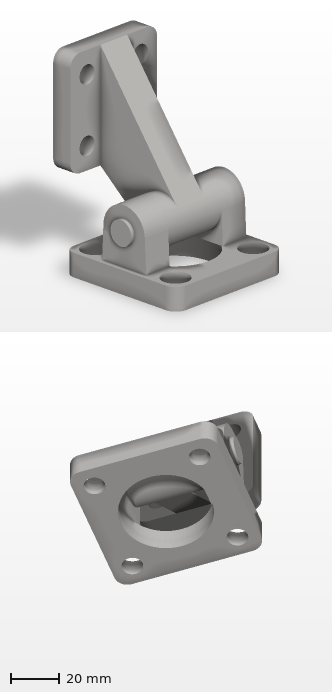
import cadquery as cq
import math

base_side = 65.0
base_thickness = 11.0
corner_radius = 5.7
base_hole_pitch = 46.55
screw_hole_diameter = 9.0
counterbore_diameter = 13.5
counterbore_depth = 4.4
window_diameter = 40.0

axis_height = 27.0
knuckle_diameter = 24.0
knuckle_radius = knuckle_diameter / 2
pin_diameter = 12.0
pin_length = 64.0
lug_foot_width = 25.5
lug_outer_y = 30.0
lug_inner_y = 16.0

overall_height = 95.0
plate_left_x = -45.0
plate_thickness = 10.0
plate_width = 52.0
plate_height = 54.1
plate_hole_pitch = 32.0
arm_width = 16.1
plate_inner_x = plate_left_x + plate_thickness
plate_bottom_z = overall_height - plate_height
plate_center_z = overall_height - plate_height / 2


def y_prism(sketch, y_center, length):
    """Extrude an XZ outline along Y, centred on y_center."""
    return sketch.extrude(length).translate((0, y_center + length / 2, 0))


def axis_cylinder(diameter, length):
    """Cylinder on the hinge axis, centred at Y = 0."""
    circle = cq.Workplane("XZ").center(0, axis_height).circle(diameter / 2)
    return y_prism(circle, 0, length)


def tangent_point(x, z, side):
    """Point where a line from (x, z) touches the knuckle circle; side is +1 or -1."""
    dz = z - axis_height
    distance = math.hypot(x, dz)
    angle = math.atan2(dz, x) + side * math.acos(knuckle_radius / distance)
    return (
        knuckle_radius * math.cos(angle),
        axis_height + knuckle_radius * math.sin(angle),
    )


def make_lug(y_center):
    """Upright ear with a round top and straight flanks tangent to it."""
    foot_x = lug_foot_width / 2
    outline = (
        cq.Workplane("XZ")
        .moveTo(-foot_x, base_thickness)
        .lineTo(foot_x, base_thickness)
        .lineTo(*tangent_point(foot_x, base_thickness, 1))
        .threePointArc(
            (0, axis_height + knuckle_radius),
            tangent_point(-foot_x, base_thickness, -1),
        )
        .close()
    )
    return y_prism(outline, y_center, lug_outer_y - lug_inner_y)


def make_base():
    """Base plate with counterbored screw holes, a round window and two bored lugs."""
    base = (
        cq.Workplane("XY")
        .rect(base_side, base_side)
        .extrude(base_thickness)
        .edges("|Z")
        .fillet(corner_radius)
    )
    base = (
        base.faces(">Z")
        .workplane()
        .rect(base_hole_pitch, base_hole_pitch, forConstruction=True)
        .vertices()
        .cboreHole(screw_hole_diameter, counterbore_diameter, counterbore_depth)
    )
    base = base.faces(">Z").workplane(origin=(0, 0, 0)).hole(window_diameter)
    lug_center_y = (lug_outer_y + lug_inner_y) / 2
    for side in (-1, 1):
        base = base.union(make_lug(side * lug_center_y))
    return base.cut(axis_cylinder(pin_diameter, pin_length))


def make_mounting_plate():
    """Rounded plate with four plain through holes."""
    return (
        cq.Workplane("YZ", origin=(plate_left_x, 0, plate_center_z))
        .rect(plate_width, plate_height)
        .extrude(plate_thickness)
        .edges("|X")
        .fillet(corner_radius)
        .faces("<X")
        .workplane(centerOption="CenterOfBoundBox")
        .rect(plate_hole_pitch, plate_hole_pitch, forConstruction=True)
        .vertices()
        .hole(screw_hole_diameter)
    )


def make_swing_arm():
    """Mounting plate, tapered web, barrel and the pin journals as one body."""
    web_outline = (
        cq.Workplane("XZ")
        .moveTo(plate_inner_x, plate_bottom_z)
        .lineTo(plate_inner_x, overall_height)
        .lineTo(*tangent_point(plate_inner_x, overall_height, -1))
        .lineTo(0, axis_height)
        .lineTo(*tangent_point(plate_inner_x, plate_bottom_z, 1))
        .close()
    )
    web = y_prism(web_outline, 0, arm_width)
    barrel = axis_cylinder(knuckle_diameter, 2 * lug_inner_y)
    pin = axis_cylinder(pin_diameter, pin_length)
    return make_mounting_plate().union(web).union(barrel).union(pin)


base = make_base()
swing_arm = make_swing_arm()
result = cq.Compound.makeCompound([base.val(), swing_arm.val()])